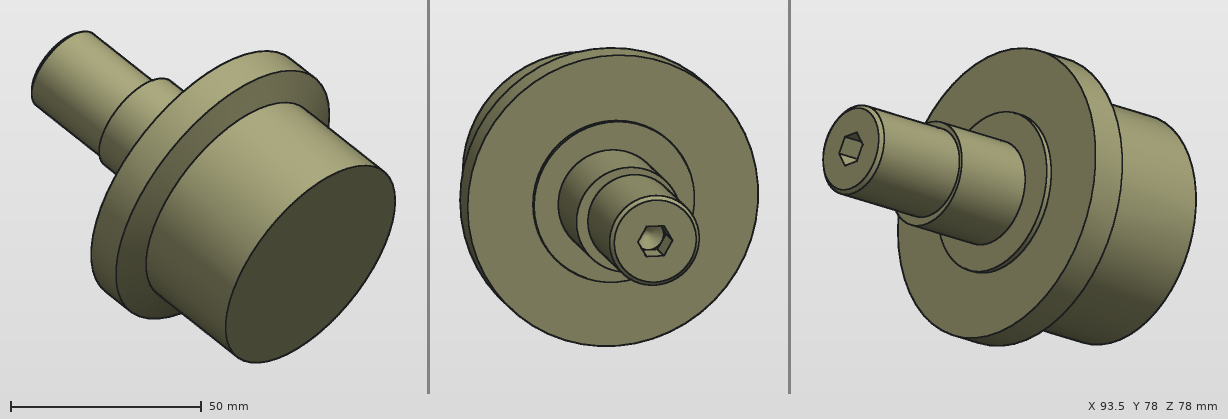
import cadquery as cq
import math

total_length = 93.5
seat_start = 27.4
collar_start = 49.6
flange_start = 51.1
flange_end = 60.5
tread_start = 63.6

stud_diameter = 24.0
seat_diameter = 28.05
collar_diameter = 43.0
flange_diameter = 78.0
tread_diameter = 62.0

seat_offset = 1.0
tip_chamfer = 1.0

socket_across_flats = 8.0
socket_depth = 8.0
socket_point_angle = 120.0


def cylinder(start, end, diameter, offset_y=0.0):
    """Round section along X between two stations."""
    section = cq.Workplane("YZ", origin=(start, 0, 0)).center(offset_y, 0)
    return section.circle(diameter / 2).extrude(end - start)


def make_roller():
    """Flange tapering down to the cylindrical tread."""
    flange_radius = flange_diameter / 2
    tread_radius = tread_diameter / 2
    profile = [
        (flange_start, 0),
        (flange_start, flange_radius),
        (flange_end, flange_radius),
        (tread_start, tread_radius),
        (total_length, tread_radius),
        (total_length, 0),
    ]
    return cq.Workplane("XY").polyline(profile).close().revolve(360, (0, 0, 0), (1, 0, 0))


def make_socket():
    """Hexagon with corners toward +Y and -Y, ending in a conical drill point."""
    across_corners = socket_across_flats / math.cos(math.radians(30))
    hexagon = cq.Workplane("YZ").polygon(6, across_corners).extrude(socket_depth)
    point_radius = socket_across_flats / 2
    point_length = point_radius / math.tan(math.radians(socket_point_angle / 2))
    point = cq.Solid.makeCone(
        point_radius, 0, point_length, pnt=cq.Vector(socket_depth, 0, 0), dir=cq.Vector(1, 0, 0)
    )
    return hexagon.union(cq.Workplane(obj=point))


stud = cylinder(0, seat_start, stud_diameter).faces("<X").chamfer(tip_chamfer)
seat = cylinder(seat_start, collar_start, seat_diameter, seat_offset)
collar = cylinder(collar_start, flange_start, collar_diameter)

result = make_roller().union(collar).union(seat).union(stud).cut(make_socket())